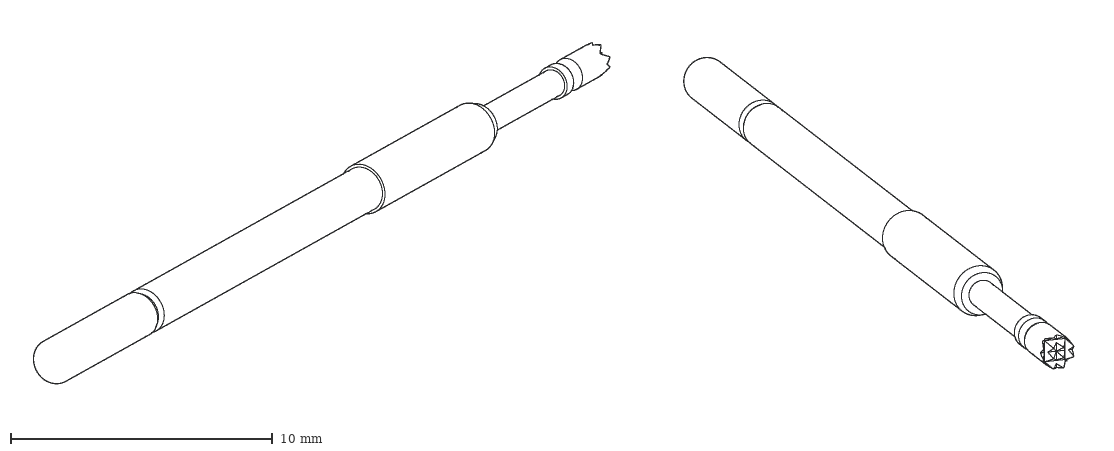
import cadquery as cq

total_length = 38.3
rear_y = -total_length / 2
tip_y = total_length / 2

sleeve_diameter = 2.0
tube_diameter = 1.75
head_diameter = 1.3
shaft_diameter = 1.07

head_length = 3.05
sleeve_start = 8.25
sleeve_end = 16.3

tube_end_rounding = 0.42
sleeve_taper_length = 0.42
sleeve_taper_height = 0.15

tube_groove_distance = 31.8
tube_groove_width = 0.45
tube_groove_depth = 0.1

head_groove_distance = 2.3
head_groove_width = 0.6
head_groove_depth = 0.1

notch_pitch = 0.42
notch_width = 0.42
outer_notch_depth = 0.42
middle_notch_depth = 0.25


def bar(diameter, start_y, end_y):
    """Round bar along Y."""
    return (
        cq.Workplane("XZ", origin=(0, end_y, 0))
        .circle(diameter / 2)
        .extrude(end_y - start_y)
    )


def v_groove(diameter, centre_y, width, depth):
    """Ring with a triangular section that cuts a V into a bar."""
    radius = diameter / 2
    return (
        cq.Workplane("XY")
        .moveTo(radius - depth, centre_y)
        .lineTo(radius + depth, centre_y + width)
        .lineTo(radius + depth, centre_y - width)
        .close()
        .revolve(360, (0, 0, 0), (0, 1, 0))
    )


def round_groove(diameter, centre_y, width, depth):
    """Ring with an arc-bottomed section that cuts a shallow groove into a bar."""
    radius = diameter / 2
    front_y = centre_y + width / 2
    back_y = centre_y - width / 2
    return (
        cq.Workplane("XY")
        .moveTo(radius, back_y)
        .threePointArc((radius - depth, centre_y), (radius, front_y))
        .lineTo(radius + depth, front_y)
        .lineTo(radius + depth, back_y)
        .close()
        .revolve(360, (0, 0, 0), (0, 1, 0))
    )


def crown_notch(centre_x, depth):
    """V cut into the crown, running right across the head along Z."""
    return (
        cq.Workplane("XY")
        .moveTo(centre_x - notch_width / 2, tip_y)
        .lineTo(centre_x, tip_y - depth)
        .lineTo(centre_x + notch_width / 2, tip_y)
        .close()
        .extrude(head_diameter, both=True)
    )


def make_tube():
    tube = bar(tube_diameter, rear_y, tip_y - sleeve_end)
    tube = tube.faces("<Y").edges().fillet(tube_end_rounding)
    groove_y = tip_y - tube_groove_distance
    return tube.cut(v_groove(tube_diameter, groove_y, tube_groove_width, tube_groove_depth))


def make_sleeve():
    front_y = tip_y - sleeve_start
    back_y = tip_y - sleeve_end
    radius = sleeve_diameter / 2
    return (
        cq.Workplane("XY")
        .moveTo(0, back_y)
        .lineTo(radius, back_y)
        .lineTo(radius, front_y - sleeve_taper_length)
        .lineTo(radius - sleeve_taper_height, front_y)
        .lineTo(0, front_y)
        .close()
        .revolve(360, (0, 0, 0), (0, 1, 0))
    )


def make_head():
    head = bar(head_diameter, tip_y - head_length, tip_y)
    groove_y = tip_y - head_groove_distance
    head = head.cut(round_groove(head_diameter, groove_y, head_groove_width, head_groove_depth))
    notches = (
        (-notch_pitch, outer_notch_depth),
        (0, middle_notch_depth),
        (notch_pitch, outer_notch_depth),
    )
    for centre_x, depth in notches:
        notch = crown_notch(centre_x, depth)
        head = head.cut(notch)
        head = head.cut(notch.rotate((0, 0, 0), (0, 1, 0), 90))
    return head


shaft = bar(shaft_diameter, tip_y - sleeve_start, tip_y - head_length)

result = make_tube().union(make_sleeve()).union(shaft).union(make_head())